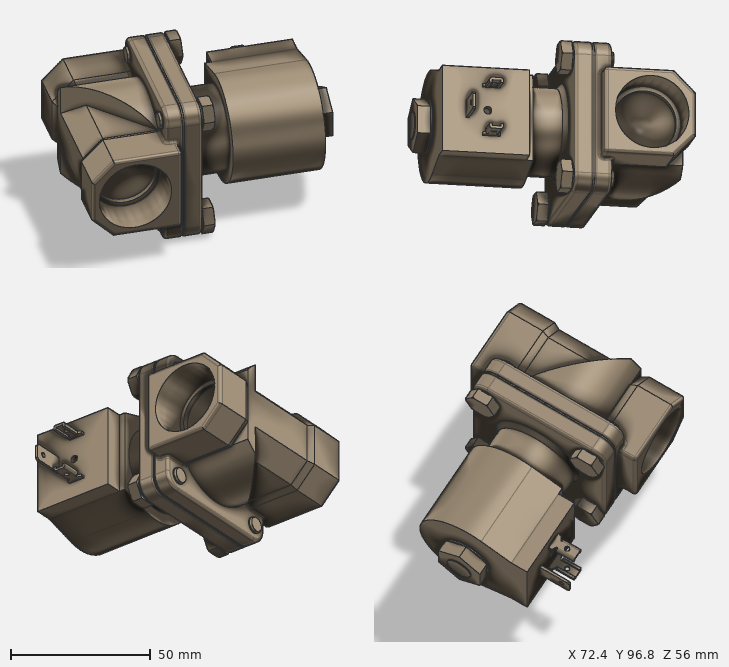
import cadquery as cq
import math


body_half_length = 35.0
end_half_width = 16.0
end_flat_half = 8.0
end_top_y = 17.2
end_inner_x = 20.0
middle_half_length = 17.3
middle_half_width = 14.7
middle_flat_half = 7.4
end_rounding = 1.2

port_mouth_diameter = 26.8
port_bore_diameter = 26.3
port_depth = 14.0
port_step_diameter = 23.1
port_step_depth = 2.1
port_cone_length = 5.8

flange_size = 56.0
flange_corner = 6.0
flange_front_y = 13.2
flange_joint_low = 19.4
flange_joint_high = 20.1
flange_top_y = 26.8
flange_rounding = 1.2
joint_rounding = 0.6
gasket_inset = 0.2
root_rounding = 1.2

chamber_radius = 22.5
chamber_step_x = -13.0

screw_offset = flange_size / 2 - flange_corner
screw_tip_diameter = 6.2
screw_tip_y = 11.9
screw_tip_lead = 0.9
screw_tip_taper = 0.3
screw_crown_chamfer = 0.4
screw_head_flats = 10.7
screw_head_y = (27.4, 31.5)
screw_collar_diameter = 9.7

neck_diameter = 32.0
neck_flare = 1.8
neck_lip = 0.3

coil_radius = 20.3
coil_low_y = 40.2
coil_top_y = 74.6
plug_low_y = 42.8
plug_half_width = 15.9
plug_face_x = -25.1
shoulder_x = -18.4
plug_hole_diameter = 2.8
plug_hole_depth = 2.9
plug_hole_y = 58.05

washer_diameter = 19.1
washer_top_y = 75.7
washer_chamfer = 0.5
nut_flats = 17.4
nut_top_y = 80.4
nut_cap_diameter = 9.9
nut_cap_top_y = 80.8

terminal_width = 6.4
terminal_thickness = 1.0
ground_y = 65.5
ground_tip_x = -37.4
ground_tip_chamfer = 0.8
ground_hole_x = -34.1
terminal_hole_diameter = 1.8
contact_y = 56.9
contact_outer_z = 9.5
contact_tip_x = -35.2
contact_base_x = -26.4
contact_neck_x = (-27.8, -27.3)
contact_neck_width = 3.1
contact_channel_width = 5.0
contact_hole_x = -30.9
rail_width = 1.0
rail_depth = 1.8
fold_radius = 0.9

EMBED = 1.0
TOLERANCE = 0.01


def plane_y(y):
    """Work plane at height y whose extrusions run towards -Y."""
    return cq.Workplane("XZ", origin=(0, y, 0))


def disc_y(diameter, low, high, x=0, z=0):
    return plane_y(high).center(x, z).circle(diameter / 2).extrude(high - low)


def pipe_section(x, half_width, flat_half, top_y):
    """Outline across the pipe with its two front corners cut off."""
    return cq.Workplane("YZ", origin=(x, 0, 0)).polyline([
        (top_y, -half_width),
        (-flat_half, -half_width),
        (-half_width, -flat_half),
        (-half_width, flat_half),
        (-flat_half, half_width),
        (top_y, half_width),
    ]).close()


def pipe_end():
    """The -X end block, with the taper down to the middle."""
    block = pipe_section(-body_half_length, end_half_width, end_flat_half, end_top_y)
    block = block.extrude(body_half_length - end_inner_x)
    block = block.edges("<X or (|X and >Y)").fillet(end_rounding)
    outer = pipe_section(-end_inner_x, end_half_width, end_flat_half, end_top_y).wire()
    inner = pipe_section(-middle_half_length, middle_half_width, middle_flat_half, end_top_y).wire()
    taper = cq.Solid.makeLoft([outer.val(), inner.val()], True)
    return block.union(cq.Workplane(taper))


def chamber():
    """Round chamber under the flange, cut off by a slope towards +X."""
    keep = cq.Workplane("XY").polyline([
        (-middle_half_length, flange_joint_low),
        (-middle_half_length, -middle_half_width),
        (chamber_step_x, -middle_half_width),
        (middle_half_length, flange_front_y),
        (middle_half_length, flange_joint_low),
    ]).close().extrude(chamber_radius + EMBED, both=True)
    drum = disc_y(2 * chamber_radius, -middle_half_width, flange_joint_low)
    return drum.intersect(keep)


def flange_slab(low, high, size=flange_size):
    slab = plane_y(high).rect(size, size).extrude(high - low)
    return slab.edges("|Y").fillet(flange_corner)


def port():
    """Tapered, stepped bore with a pointed bottom, entering from -X."""
    x = -body_half_length
    bore_end = x + port_depth
    step_end = bore_end + port_step_depth
    return cq.Workplane("XY").polyline([
        (x, 0),
        (x, port_mouth_diameter / 2),
        (bore_end, port_bore_diameter / 2),
        (bore_end, port_step_diameter / 2),
        (step_end, port_step_diameter / 2),
        (step_end + port_cone_length, 0),
    ]).close().revolve(360, (0, 0, 0), (1, 0, 0))


def root_edges(body):
    """Inner corners where the flange meets the end blocks."""
    def at_root(edge):
        spot = edge.Center()
        in_length = middle_half_length + TOLERANCE < abs(spot.x) < flange_size / 2 + TOLERANCE
        in_height = flange_front_y - TOLERANCE < spot.y < end_top_y + TOLERANCE
        return in_length and in_height and abs(spot.z) < end_half_width + TOLERANCE

    return body.newObject([edge for edge in body.edges().vals() if at_root(edge)])


def pipe_body():
    middle = pipe_section(-middle_half_length, middle_half_width, middle_flat_half, end_top_y)
    end = pipe_end()
    ends = end.union(end.mirror("YZ"))
    lower = flange_slab(flange_front_y, flange_joint_low)
    lower = lower.faces("<Y").edges().fillet(flange_rounding)
    lower = lower.faces(">Y").edges().fillet(joint_rounding)
    body = lower.union(ends)
    body = root_edges(body).fillet(root_rounding)
    body = body.union(middle.extrude(2 * middle_half_length)).union(chamber())
    entry = port()
    return body.cut(entry).cut(entry.mirror("YZ"))


def bonnet():
    gasket = flange_slab(flange_joint_low, flange_joint_high, flange_size - 2 * gasket_inset)
    upper = flange_slab(flange_joint_high, flange_top_y)
    upper = upper.faces(">Y").edges().fillet(flange_rounding)
    upper = upper.faces("<Y").edges().fillet(joint_rounding)
    neck = disc_y(neck_diameter, flange_top_y, coil_low_y)
    flare = disc_y(neck_diameter + 2 * neck_flare, flange_top_y, flange_top_y + neck_lip + neck_flare)
    flare = flare.faces(">Y").edges().chamfer(neck_flare - TOLERANCE)
    return gasket.union(upper).union(neck).union(flare)


def screw(x, z):
    """Hexagon screw through both flanges, its tapered tip showing in front."""
    tip = disc_y(screw_tip_diameter, screw_tip_y, flange_top_y, x, z)
    tip = tip.faces("<Y").edges().chamfer(screw_tip_lead, screw_tip_taper)
    low, high = screw_head_y
    corner_diameter = screw_head_flats / math.cos(math.radians(30))
    head = plane_y(high).center(x, z).polygon(6, corner_diameter).extrude(high - low)
    crown = disc_y(corner_diameter, low, high, x, z).faces(">Y").edges().chamfer(screw_crown_chamfer)
    collar = disc_y(screw_collar_diameter, flange_top_y - EMBED, low, x, z)
    return tip.union(head.intersect(crown)).union(collar)


def coil():
    reach = math.hypot(shoulder_x, plug_half_width)
    angle = math.atan2(plug_half_width, shoulder_x) - math.acos(coil_radius / reach)
    tangent_x = coil_radius * math.cos(angle)
    tangent_z = coil_radius * math.sin(angle)
    shell = (
        plane_y(coil_top_y)
        .moveTo(shoulder_x, plug_half_width)
        .lineTo(tangent_x, tangent_z)
        .threePointArc((coil_radius, 0), (tangent_x, -tangent_z))
        .lineTo(shoulder_x, -plug_half_width)
        .close()
        .extrude(coil_top_y - coil_low_y)
    )
    plug = cq.Workplane("XY").box(
        shoulder_x - plug_face_x, coil_top_y - plug_low_y, 2 * plug_half_width, centered=(False, False, True)
    ).translate((plug_face_x, plug_low_y, 0))
    hole = cq.Workplane("YZ", origin=(plug_face_x, plug_hole_y, 0))
    hole = hole.circle(plug_hole_diameter / 2).extrude(plug_hole_depth)
    return shell.union(plug).cut(hole)


def nut():
    washer = disc_y(washer_diameter, coil_top_y, washer_top_y).faces("<Y").edges().chamfer(washer_chamfer)
    corner_diameter = nut_flats / math.cos(math.radians(30))
    hexagon = plane_y(nut_top_y).transformed(rotate=(0, 0, 30)).polygon(6, corner_diameter)
    cap = disc_y(nut_cap_diameter, nut_top_y, nut_cap_top_y)
    return washer.union(hexagon.extrude(nut_top_y - washer_top_y)).union(cap)


def ground_terminal():
    length = plug_face_x + EMBED - ground_tip_x
    blade = cq.Workplane("XY").box(length, terminal_thickness, terminal_width, centered=(False, True, True))
    blade = blade.translate((ground_tip_x, ground_y, 0))
    blade = blade.edges("|Y and <X").chamfer(ground_tip_chamfer)
    return blade.cut(disc_y(terminal_hole_diameter, ground_y - EMBED, ground_y + EMBED, x=ground_hole_x))


def contact_terminal():
    """The +Z contact: a waisted blade folded into a channel."""
    neck_outer, neck_inner = contact_neck_x
    blade = cq.Workplane("XY", origin=(0, contact_y, contact_outer_z)).polyline([
        (plug_face_x + EMBED, terminal_width / 2),
        (contact_base_x, terminal_width / 2),
        (neck_inner, contact_neck_width / 2),
        (neck_outer, contact_neck_width / 2),
        (neck_outer, contact_channel_width / 2),
        (contact_tip_x, contact_channel_width / 2),
        (contact_tip_x, 0),
        (plug_face_x + EMBED, 0),
    ]).close().extrude(-terminal_thickness)
    rail = cq.Workplane("XY").box(
        neck_outer - contact_tip_x, rail_width, rail_depth, centered=False
    ).translate((
        contact_tip_x,
        contact_y + contact_channel_width / 2 - rail_width,
        contact_outer_z - rail_depth,
    ))
    half = blade.union(rail)
    fold = cq.selectors.NearestToPointSelector((
        (contact_tip_x + neck_outer) / 2,
        contact_y + contact_channel_width / 2,
        contact_outer_z,
    ))
    half = half.edges(fold).fillet(fold_radius)
    contact = half.union(half.mirror("XZ", (0, contact_y, 0)))
    hole = cq.Workplane("XY").center(contact_hole_x, contact_y)
    return contact.cut(hole.circle(terminal_hole_diameter / 2).extrude(2 * contact_outer_z))


result = pipe_body().union(bonnet()).union(coil()).union(nut())
for x in (-screw_offset, screw_offset):
    for z in (-screw_offset, screw_offset):
        result = result.union(screw(x, z))
contact = contact_terminal()
result = result.union(ground_terminal()).union(contact).union(contact.mirror("XY"))